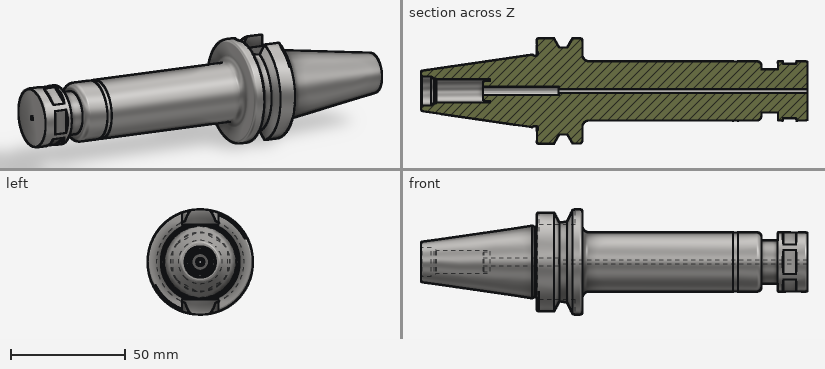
import cadquery as cq
import math


gauge_diameter = 31.75
taper_ratio = 7 / 24
taper_length = 48.4
taper_end_round = 0.8

relief_radius = 15.4
relief_start = 1.0
face_groove_depth = 0.4
face_groove_round = 0.9
face_groove_floor_radius = 16.8
flange_radius = 23.0
flange_start = 2.0
flange_end = 22.0
flange_front_round = 1.0
flange_rear_round = 1.3
groove_centre = 13.6
groove_floor_width = 3.4
groove_floor_radius = 19.0
groove_half_angle = 30.0
slot_width = 16.1
slot_floor_height = 16.3
slot_end = 18.8

body_radius = 13.0
body_end = 100.0
body_fillet = 2.7
body_end_round = 2.2
band_start = 87.5
band_width = 2.1
band_depth = 0.1
neck_radius = 9.5

nut_radius = 13.0
nut_start = 107.0
nut_end = 120.0
nut_rear_round = 0.6
nut_chamfer = 1.0
nut_chamfer_depth = 0.3
nut_flat_count = 6
nut_flat_distance = 11.9
nut_flat_centre = 112.2
nut_flat_length = 5.4
nut_flat_wall_slope = 0.35

entry_radius = 6.8
pilot_radius = 6.25
pilot_depth = 4.4
lead_in_half_angle = 40.0
clearance_radius = 5.25
clearance_length = 0.8
thread_radius = 5.0
thread_depth = 30.0
plug_radius = 4.4
plug_chamfer = 0.5
plug_height = 3.0
coolant_radius = 1.75
coolant_depth = 60.0
outlet_radius = 0.85


def round_corner(path, corner, before, after, radius):
    """Run the path to a square or nearly square corner and round it with an arc.

    The directions before and after give the travel into and out of the corner.
    """
    start = (corner[0] - radius * before[0], corner[1] - radius * before[1])
    end = (corner[0] + radius * after[0], corner[1] + radius * after[1])
    pull = radius * (1 - math.sqrt(0.5))
    middle = (
        corner[0] + pull * (after[0] - before[0]),
        corner[1] + pull * (after[1] - before[1]),
    )
    return path.lineTo(*start).threePointArc(middle, end)


def make_body():
    """Revolve the outer profile of taper, flange, body, neck and nut."""
    small_end = -taper_length
    gauge_radius = gauge_diameter / 2
    slope = taper_ratio / 2
    small_radius = gauge_radius - taper_length * slope
    groove_depth = flange_radius - groove_floor_radius
    groove_run = groove_depth * math.tan(math.radians(groove_half_angle))
    groove_half = groove_floor_width / 2
    band_end = band_start + band_width
    face_groove_end = flange_start + face_groove_depth
    forward = (1, 0)
    outward = (0, 1)
    inward = (0, -1)

    path = cq.Workplane("XY").moveTo(small_end, 0)
    path = round_corner(path, (small_end, small_radius), outward, (1, slope), taper_end_round)
    path = path.lineTo(0, gauge_radius)
    path = path.lineTo(relief_start, relief_radius)
    path = round_corner(path, (face_groove_end, relief_radius), forward, outward, face_groove_round)
    path = path.lineTo(face_groove_end, face_groove_floor_radius)
    path = path.lineTo(flange_start, face_groove_floor_radius + face_groove_depth)
    path = round_corner(path, (flange_start, flange_radius), outward, forward, flange_front_round)
    path = (
        path.lineTo(groove_centre - groove_half - groove_run, flange_radius)
        .lineTo(groove_centre - groove_half, groove_floor_radius)
        .lineTo(groove_centre + groove_half, groove_floor_radius)
        .lineTo(groove_centre + groove_half + groove_run, flange_radius)
    )
    path = round_corner(path, (flange_end, flange_radius), forward, inward, flange_rear_round)
    path = round_corner(path, (flange_end, body_radius), inward, forward, body_fillet)
    path = (
        path.lineTo(band_start, body_radius)
        .lineTo(band_start, body_radius - band_depth)
        .lineTo(band_end, body_radius - band_depth)
        .lineTo(band_end, body_radius)
    )
    path = round_corner(path, (body_end, body_radius), forward, inward, body_end_round)
    path = path.lineTo(body_end, neck_radius)
    path = path.lineTo(nut_start, neck_radius)
    path = round_corner(path, (nut_start, nut_radius), outward, forward, nut_rear_round)
    path = (
        path.lineTo(nut_end - nut_chamfer, nut_radius)
        .lineTo(nut_end, nut_radius - nut_chamfer_depth)
        .lineTo(nut_end, 0)
        .close()
    )
    return path.revolve(360, (0, 0, 0), (1, 0, 0))


def make_bore():
    """Revolve the stepped bore that runs from the taper end to the nut face."""
    mouth = -taper_length
    pilot_end = mouth + pilot_depth
    lead_in_slope = math.tan(math.radians(lead_in_half_angle))
    clearance_start = pilot_end + (pilot_radius - clearance_radius) / lead_in_slope
    clearance_end = clearance_start + clearance_length
    thread_start = clearance_end + (clearance_radius - thread_radius) / lead_in_slope
    thread_end = mouth + thread_depth
    plug_top = thread_end - plug_height
    coolant_end = mouth + coolant_depth
    profile = (
        cq.Workplane("XY")
        .moveTo(mouth, 0)
        .lineTo(mouth, entry_radius)
        .lineTo(mouth + entry_radius - pilot_radius, pilot_radius)
        .lineTo(pilot_end, pilot_radius)
        .lineTo(clearance_start, clearance_radius)
        .lineTo(clearance_end, clearance_radius)
        .lineTo(thread_start, thread_radius)
        .lineTo(thread_end, thread_radius)
        .lineTo(thread_end, plug_radius)
        .lineTo(plug_top + plug_chamfer, plug_radius)
        .lineTo(plug_top, plug_radius - plug_chamfer)
        .lineTo(plug_top, coolant_radius)
        .lineTo(coolant_end, coolant_radius)
        .lineTo(coolant_end, outlet_radius)
        .lineTo(nut_end, outlet_radius)
        .lineTo(nut_end, 0)
        .close()
    )
    return profile.revolve(360, (0, 0, 0), (1, 0, 0))


def make_drive_slot():
    """Round-ended slot cutter above the upper slot floor."""
    half_width = slot_width / 2
    arc_start = slot_end - half_width
    return (
        cq.Workplane("XY", origin=(0, 0, slot_floor_height))
        .moveTo(0, -half_width)
        .lineTo(arc_start, -half_width)
        .threePointArc((slot_end, 0), (arc_start, half_width))
        .lineTo(0, half_width)
        .close()
        .extrude(flange_radius)
    )


def make_nut_flat():
    """Cutter for the wrench flat on the +Y side of the nut, with flared end walls."""
    floor_half = nut_flat_length / 2
    cutter_height = nut_radius - nut_flat_distance
    top_half = floor_half + cutter_height * nut_flat_wall_slope
    return (
        cq.Workplane("XY")
        .moveTo(nut_flat_centre - floor_half, nut_flat_distance)
        .lineTo(nut_flat_centre + floor_half, nut_flat_distance)
        .lineTo(nut_flat_centre + top_half, nut_radius)
        .lineTo(nut_flat_centre - top_half, nut_radius)
        .close()
        .extrude(nut_radius, both=True)
    )


def rotated(shape, angle):
    """Turn a shape about the part axis."""
    return shape.rotate((0, 0, 0), (1, 0, 0), angle)


result = make_body().cut(make_bore())

for slot_angle in (0, 180):
    result = result.cut(rotated(make_drive_slot(), slot_angle))

for index in range(nut_flat_count):
    result = result.cut(rotated(make_nut_flat(), index * 360 / nut_flat_count))